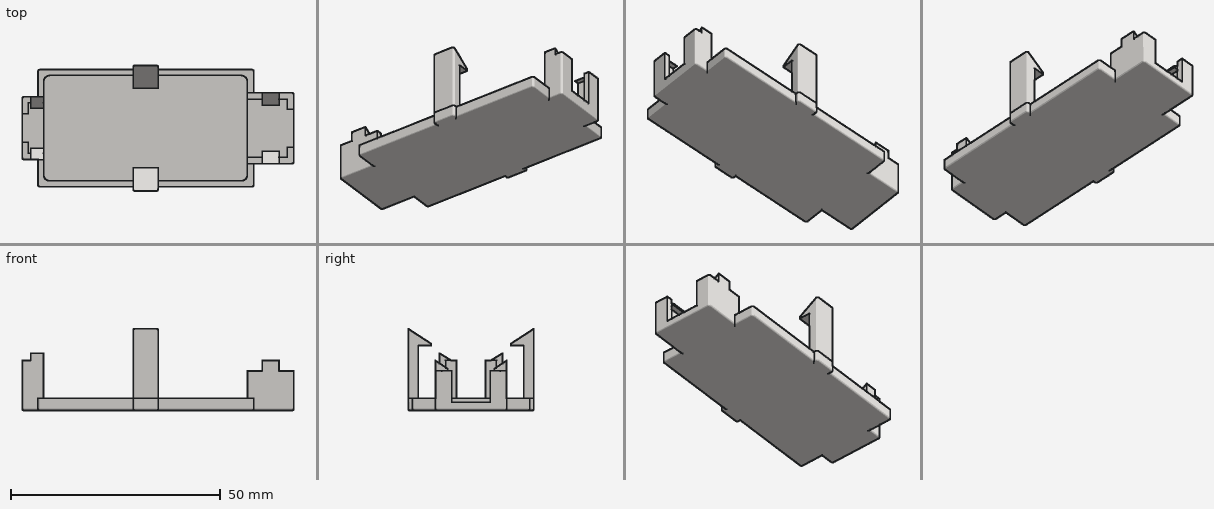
import cadquery as cq

TOTAL_LENGTH = 64.75
TOTAL_WIDTH = 30.0
TOTAL_HEIGHT = 19.55
EDGE_RADIUS = 0.5

TRAY_LEFT = 3.75
TRAY_RIGHT = 55.2
TRAY_WIDTH = 28.0
RIM_HEIGHT = 3.0
FLOOR_THICKNESS = 1.0
POCKET_LEFT = 5.1
POCKET_RIGHT = 53.7
POCKET_WIDTH = 25.1
POCKET_RADIUS = 1.5

LEFT_WIDTH = 15.0
LEFT_HEIGHT = 12.0
LEFT_SIDE_WALL = 1.5
LEFT_END_WALL = 1.4
LEFT_SLOT = 6.8
LEFT_BARB_START = 2.0
LEFT_BARB_TOP = 13.7
LEFT_BARB_REACH = 2.8

RIGHT_WIDTH = 16.95
RIGHT_HEIGHT = 9.5
RIGHT_SIDE_WALL = 1.55
RIGHT_END_WALL = 1.55
RIGHT_SLOT = 9.1
RIGHT_FLOOR = 2.0
RIGHT_BARB_START = 57.2
RIGHT_BARB_END = 61.25
RIGHT_BARB_TOP = 12.0
RIGHT_BARB_REACH = 3.0

ARM_LEFT = 26.4
ARM_RIGHT = 32.45
ARM_THICKNESS = (TOTAL_WIDTH - POCKET_WIDTH) / 2
HOOK_REACH = 5.5
HOOK_HEIGHT = 4.0
TIP_HEIGHT = 0.45


def block(x_start, x_end, width, z_start, z_end):
    """Box between the given X and Z limits, centred on Y = 0."""
    size = (x_end - x_start, width, z_end - z_start)
    return cq.Workplane("XY").box(*size, centered=(False, True, False)).translate((x_start, 0, z_start))


def rounded_block(x_start, x_end, width, height):
    """Block standing on Z = 0 with its upright edges and its bottom edges rounded."""
    return block(x_start, x_end, width, 0, height).edges("|Z or <Z").fillet(EDGE_RADIUS)


def extrude_profile(points, x_start, x_end):
    """Prism along X from (Y, Z) points."""
    return cq.Workplane("YZ").polyline(points).close().extrude(x_end - x_start).translate((x_start, 0, 0))


def mirror_y(shape):
    return shape.mirror("XZ")


def make_barb(x_start, x_end, outer_y, bottom, top, reach, tip_height=0):
    """Barb on the -Y wall, sloping down towards the middle to a sharp or blunt tip."""
    inner_y = reach - outer_y
    points = [(-outer_y, bottom), (-outer_y, top), (inner_y, bottom + tip_height)]
    if tip_height > 0:
        points.append((inner_y, bottom))
    return extrude_profile(points, x_start, x_end)


def make_left_bracket():
    """U-shaped bracket, rounded only at its outer end, ending at the pocket edge."""
    bracket = rounded_block(0, 2 * POCKET_LEFT, LEFT_WIDTH, LEFT_HEIGHT)
    bracket = bracket.intersect(block(0, POCKET_LEFT, LEFT_WIDTH, 0, LEFT_HEIGHT))
    room_width = LEFT_WIDTH - 2 * LEFT_SIDE_WALL
    bracket = bracket.cut(block(LEFT_END_WALL, POCKET_LEFT, room_width, RIM_HEIGHT, LEFT_HEIGHT))
    bracket = bracket.cut(block(0, LEFT_END_WALL, LEFT_SLOT, RIM_HEIGHT, LEFT_HEIGHT))
    barb = make_barb(
        LEFT_BARB_START, POCKET_LEFT, LEFT_WIDTH / 2, LEFT_HEIGHT, LEFT_BARB_TOP, LEFT_BARB_REACH
    )
    return bracket.union(barb).union(mirror_y(barb))


def make_right_bracket():
    """Bracket with a lowered floor, rounded only at its outer end, starting at the pocket edge."""
    bracket = rounded_block(POCKET_RIGHT - EDGE_RADIUS, TOTAL_LENGTH, RIGHT_WIDTH, RIGHT_HEIGHT)
    bracket = bracket.intersect(block(POCKET_RIGHT, TOTAL_LENGTH, RIGHT_WIDTH, 0, RIGHT_HEIGHT))
    bracket = bracket.cut(make_right_opening())
    barb = make_barb(
        RIGHT_BARB_START, RIGHT_BARB_END, RIGHT_WIDTH / 2,
        RIGHT_HEIGHT, RIGHT_BARB_TOP, RIGHT_BARB_REACH, TIP_HEIGHT,
    )
    return bracket.union(barb).union(mirror_y(barb))


def make_right_opening():
    """Space between the right bracket's walls; its floor lies below the tray rim."""
    inner_end = TOTAL_LENGTH - RIGHT_END_WALL
    room_width = RIGHT_WIDTH - 2 * RIGHT_SIDE_WALL
    room = block(POCKET_RIGHT, inner_end, room_width, RIGHT_FLOOR, RIGHT_HEIGHT)
    slot = block(inner_end, TOTAL_LENGTH, RIGHT_SLOT, RIGHT_FLOOR, RIGHT_HEIGHT)
    return room.union(slot)


def make_base():
    """Tray with a bracket at each end and a foot under each clip arm."""
    tray = rounded_block(TRAY_LEFT, TRAY_RIGHT, TRAY_WIDTH, RIM_HEIGHT).cut(make_right_opening())
    feet = rounded_block(ARM_LEFT, ARM_RIGHT, TOTAL_WIDTH, RIM_HEIGHT)
    base = tray.union(feet).union(make_left_bracket()).union(make_right_bracket())
    pocket = block(POCKET_LEFT, POCKET_RIGHT, POCKET_WIDTH, FLOOR_THICKNESS, RIM_HEIGHT)
    return base.cut(pocket.edges("|Z").fillet(POCKET_RADIUS))


def make_clip_arm():
    """Upright arm on the -Y foot, with a hook reaching in over the tray."""
    outer_y = -TOTAL_WIDTH / 2
    hook_bottom = TOTAL_HEIGHT - HOOK_HEIGHT
    points = [
        (outer_y, RIM_HEIGHT),
        (outer_y, TOTAL_HEIGHT),
        (outer_y + HOOK_REACH, hook_bottom + TIP_HEIGHT),
        (outer_y + HOOK_REACH, hook_bottom),
        (outer_y + ARM_THICKNESS, hook_bottom),
        (outer_y + ARM_THICKNESS, RIM_HEIGHT),
    ]
    return extrude_profile(points, ARM_LEFT, ARM_RIGHT).faces("<Y").edges("|Z").fillet(EDGE_RADIUS)


base = make_base()
clip_arms = []
for mirrored in (False, True):
    arm = make_clip_arm()
    if mirrored:
        arm = mirror_y(arm)
    clip_arms.append(arm.val())

result = cq.Compound.makeCompound([base.val(), *clip_arms])